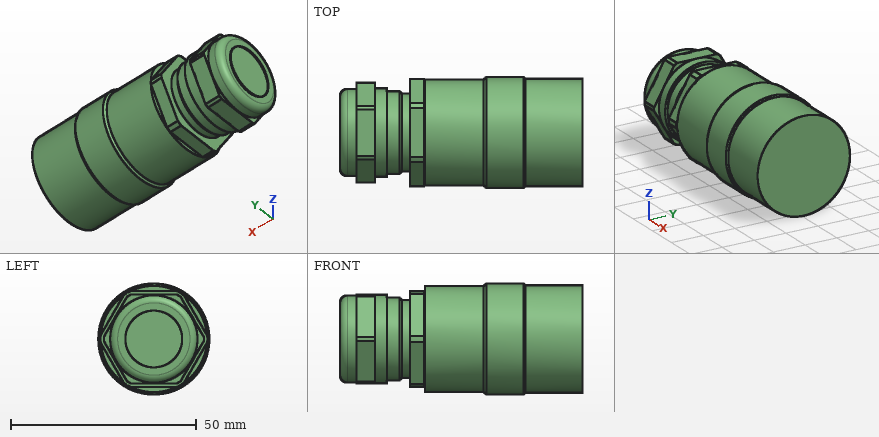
import cadquery as cq

total_length = 65.45
cap_nut_start = 4.45
cap_nut_end = 9.5
collar_end = 12.7
sleeve_end = 16.05
sleeve_taper_end = 16.7
body_nut_start = 18.85
body_nut_end = 22.7
body_start = 22.9
ring_start = 38.75
ring_full_start = 39.5
ring_full_end = 49.5
ring_end = 50.0

cap_diameter = 23.55
collar_diameter = 23.95
sleeve_diameter = 22.4
neck_diameter = 21.1
body_diameter = 28.65
ring_diameter = 30.0
end_diameter = 29.05

cap_nut_flats = 23.9
cap_nut_corners = 26.95
body_nut_flats = 25.85
body_nut_corners = 29.0

cap_rounding = 2.0
recess_diameter = 15.3
recess_depth = 0.25


def cylinder(start, end, diameter):
    """Cylinder along X between two positions."""
    return cq.Workplane("YZ", origin=(start, 0, 0)).circle(diameter / 2).extrude(end - start)


def cone(start, end, start_diameter, end_diameter):
    """Truncated cone along X between two positions."""
    profile = [
        (start, 0),
        (start, start_diameter / 2),
        (end, end_diameter / 2),
        (end, 0),
    ]
    return cq.Workplane("XY").polyline(profile).close().revolve(360, (0, 0, 0), (1, 0, 0))


def hex_nut(start, end, flats, corners):
    """Hexagon with flats at top and bottom and corners trimmed to a diameter."""
    hexagon = (
        cq.Workplane("YZ", origin=(start, 0, 0))
        .polygon(6, flats, circumscribed=True)
        .extrude(end - start)
        .rotate((0, 0, 0), (1, 0, 0), 30)
    )
    return hexagon.intersect(cylinder(start, end, corners))


cap = cylinder(0, cap_nut_start, cap_diameter).faces("<X").edges().fillet(cap_rounding)
cap = cap.cut(cylinder(0, recess_depth, recess_diameter))

sections = [
    hex_nut(cap_nut_start, cap_nut_end, cap_nut_flats, cap_nut_corners),
    cylinder(cap_nut_end, collar_end, collar_diameter),
    cylinder(collar_end, sleeve_end, sleeve_diameter),
    cone(sleeve_end, sleeve_taper_end, sleeve_diameter, neck_diameter),
    cylinder(sleeve_taper_end, body_nut_start, neck_diameter),
    hex_nut(body_nut_start, body_nut_end, body_nut_flats, body_nut_corners),
    cylinder(body_nut_end, body_start, neck_diameter),
    cylinder(body_start, ring_start, body_diameter),
    cone(ring_start, ring_full_start, body_diameter, ring_diameter),
    cylinder(ring_full_start, ring_full_end, ring_diameter),
    cone(ring_full_end, ring_end, ring_diameter, end_diameter),
    cylinder(ring_end, total_length, end_diameter),
]

result = cap
for section in sections:
    result = result.union(section)